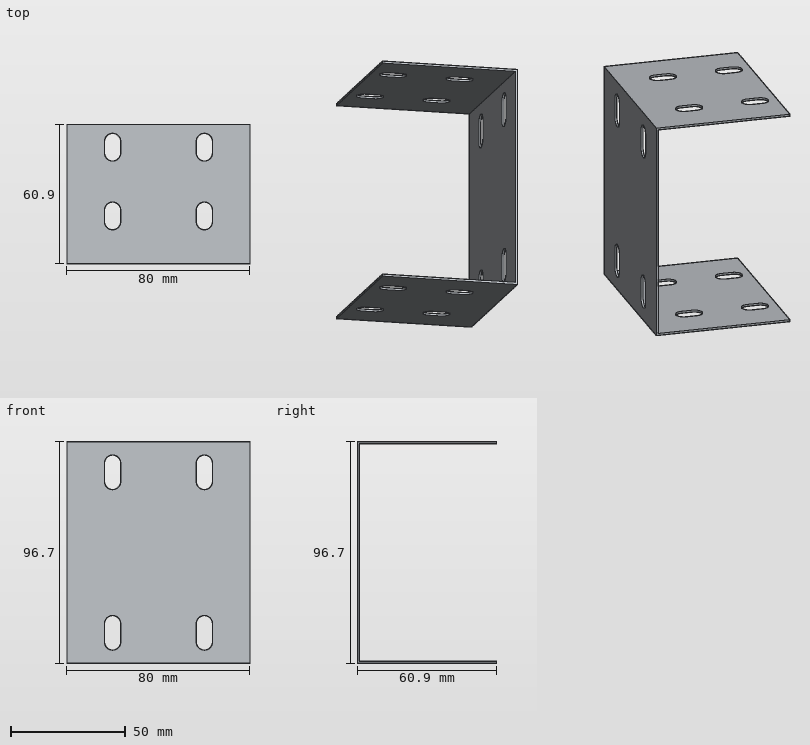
import cadquery as cq

width = 80.0
depth = 60.85
height = 96.7
thickness = 1.0

slot_width = 7.0
column_spacing = 40.05
web_slot_length = 15.0
web_row_spacing = 70.0
flange_slot_length = 12.0
flange_row_spacing = 30.0
flange_edge_to_slot = 10.0


def channel():
    """Constant-thickness channel, open towards +Y and centred on the origin."""
    body = cq.Workplane("XY").box(width, depth, height)
    inside = (
        cq.Workplane("XY")
        .box(width, depth, height - 2 * thickness)
        .translate((0, thickness, 0))
    )
    return body.cut(inside)


def slot_grid(plane, slot_length, row_spacing, row_center, cut_length):
    """Four slot-shaped cutters, extending equally to both sides of the plane."""
    return (
        cq.Workplane(plane)
        .center(0, row_center)
        .rarray(column_spacing, row_spacing, 2, 2)
        .slot2D(slot_length, slot_width, 90)
        .extrude(cut_length / 2, both=True)
    )


web_slots = slot_grid("XZ", web_slot_length, web_row_spacing, 0, 2 * depth)

flange_row_center = depth / 2 - flange_edge_to_slot - flange_row_spacing / 2
flange_slots = slot_grid(
    "XY", flange_slot_length, flange_row_spacing, flange_row_center, 2 * height
)

result = channel().cut(web_slots).cut(flange_slots)